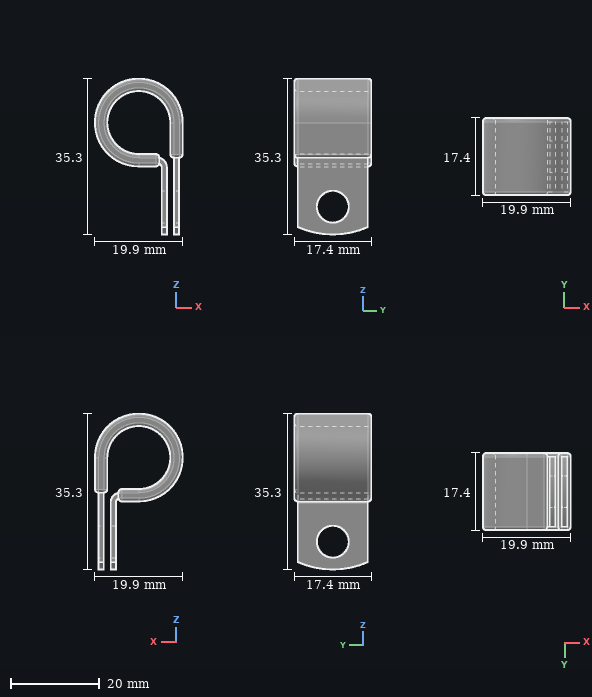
import cadquery as cq
import math

total_height = 35.27
outer_radius = 9.95
cushion_thickness = 2.85
cushion_width = 17.45
edge_radius = 0.8
upright_leg = 7.95
flat_leg = 4.62

strap_thickness = cushion_thickness - 2 * edge_radius
strap_width = cushion_width - 2 * edge_radius
bent_tab_outer_x = 6.4
bend_outer_radius = 2.25
tab_corner_rise = 1.7
hole_diameter = 7.15
hole_above_tip = 6.3

inner_radius = outer_radius - cushion_thickness
strap_outer_radius = outer_radius - edge_radius
tip_z = outer_radius - total_height
diagonal = math.sqrt(0.5)


def make_cushion():
    """Three-quarter loop with two straight legs and all outside edges rounded."""
    body = (
        cq.Workplane("XZ")
        .moveTo(outer_radius, -upright_leg)
        .lineTo(outer_radius, 0)
        .threePointArc((-outer_radius * diagonal, outer_radius * diagonal), (0, -outer_radius))
        .lineTo(flat_leg, -outer_radius)
        .lineTo(flat_leg, -inner_radius)
        .lineTo(0, -inner_radius)
        .threePointArc((-inner_radius * diagonal, inner_radius * diagonal), (inner_radius, 0))
        .lineTo(inner_radius, -upright_leg)
        .close()
        .extrude(cushion_width / 2, both=True)
    )
    wall_middle = (inner_radius + outer_radius) / 2
    side_edges = body.faces("<Y or >Y").edges()
    flat_end_edges = body.faces(
        cq.selectors.NearestToPointSelector((flat_leg, 0, -wall_middle))
    ).edges("|Y")
    upright_end_edges = body.faces(
        cq.selectors.NearestToPointSelector((wall_middle, 0, -upright_leg))
    ).edges("|Y")
    return side_edges.add(flat_end_edges).add(upright_end_edges).fillet(edge_radius)


def make_tabs():
    """Straight tab and bent tab, sharing a rounded tip and a through hole."""
    straight_tab = (
        cq.Workplane("XY")
        .box(strap_thickness, strap_width, -tip_z - upright_leg / 2, centered=(False, True, False))
        .translate((strap_outer_radius - strap_thickness, 0, tip_z))
    )
    bend_x = bent_tab_outer_x - bend_outer_radius
    bend_top_z = strap_thickness - strap_outer_radius
    bend_z = bend_top_z - bend_outer_radius
    bend_inner_radius = bend_outer_radius - strap_thickness
    bent_tab = (
        cq.Workplane("XZ")
        .moveTo(flat_leg / 2, bend_top_z)
        .lineTo(bend_x, bend_top_z)
        .threePointArc(
            (bend_x + bend_outer_radius * diagonal, bend_z + bend_outer_radius * diagonal),
            (bent_tab_outer_x, bend_z),
        )
        .lineTo(bent_tab_outer_x, tip_z)
        .lineTo(bent_tab_outer_x - strap_thickness, tip_z)
        .lineTo(bent_tab_outer_x - strap_thickness, bend_z)
        .threePointArc(
            (bend_x + bend_inner_radius * diagonal, bend_z + bend_inner_radius * diagonal),
            (bend_x, bend_z + bend_inner_radius),
        )
        .lineTo(flat_leg / 2, bend_z + bend_inner_radius)
        .close()
        .extrude(strap_width / 2, both=True)
    )
    outline = (
        cq.Workplane("YZ")
        .moveTo(-strap_width / 2, 0)
        .lineTo(-strap_width / 2, tip_z + tab_corner_rise)
        .threePointArc((0, tip_z), (strap_width / 2, tip_z + tab_corner_rise))
        .lineTo(strap_width / 2, 0)
        .close()
        .extrude(outer_radius)
    )
    hole = (
        cq.Workplane("YZ")
        .center(0, tip_z + hole_above_tip)
        .circle(hole_diameter / 2)
        .extrude(outer_radius)
    )
    return straight_tab.union(bent_tab).intersect(outline).cut(hole)


result = make_cushion().union(make_tabs())